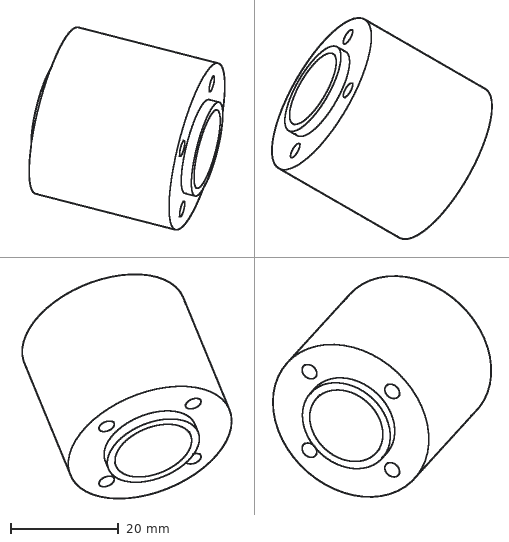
import cadquery as cq

body_diameter = 32.0
total_length = 31.5
hub_diameter = 18.0
hub_projection = 2.0
bore_diameter = 15.0
bolt_hole_diameter = 3.0
bolt_hole_offset = 8.48

body_length = total_length - 2 * hub_projection


def cylinder_along_x(diameter, length):
    """Cylinder on the X axis, centred on the origin."""
    return cq.Workplane("YZ", origin=(-length / 2, 0, 0)).circle(diameter / 2).extrude(length)


body = cylinder_along_x(body_diameter, body_length)
hubs = cylinder_along_x(hub_diameter, total_length)

bore = cylinder_along_x(bore_diameter, total_length)

result = body.union(hubs).cut(bore)

for y_side in (-1, 1):
    for z_side in (-1, 1):
        bolt_hole = cylinder_along_x(bolt_hole_diameter, total_length).translate(
            (0, y_side * bolt_hole_offset, z_side * bolt_hole_offset)
        )
        result = result.cut(bolt_hole)